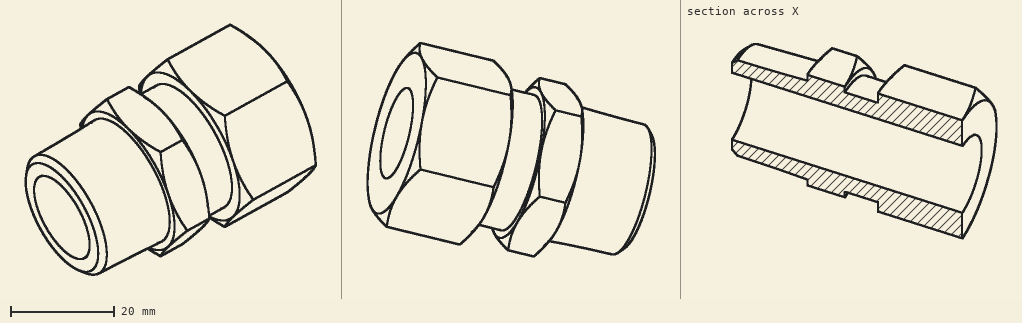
import cadquery as cq
import math

total_length = 49.0
end_chamfer_length = 1.2
gauge_plane = 9.5
body_hex_start = 16.05
body_hex_end = 24.0
nut_start = 31.05

bore_diameter = 18.0
end_face_diameter = 23.55
gauge_diameter = 26.45
thread_taper = 1 / 16
body_diameter = 27.0
body_hex_flats = 30.0
nut_flats = 32.0
hex_chamfer_angle = 30.0
corner_clearance = 0.5


def revolve_about_y(profile):
    """Revolve a closed list of (radius, y) points about the Y axis."""
    return cq.Workplane("XY").polyline(profile).close().revolve(360, (0, 0, 0), (0, 1, 0))


def chamfered_hexagon(flats, start, end):
    """Hexagon along Y with corners on X and both ends turned down to the flats."""
    corner_diameter = flats / math.cos(math.radians(30))
    prism = (
        cq.Workplane("XZ", origin=(0, start, 0))
        .polygon(6, corner_diameter)
        .extrude(start - end)
    )
    face_radius = flats / 2
    outer_radius = corner_diameter / 2 + corner_clearance
    chamfer = (outer_radius - face_radius) * math.tan(math.radians(hex_chamfer_angle))
    turned_blank = revolve_about_y([
        (0, start),
        (face_radius, start),
        (outer_radius, start + chamfer),
        (outer_radius, end - chamfer),
        (face_radius, end),
        (0, end),
    ])
    return prism.intersect(turned_blank)


def thread_radius(y):
    """Radius of the tapered thread at station y."""
    return (gauge_diameter + thread_taper * (y - gauge_plane)) / 2


body = revolve_about_y([
    (0, 0),
    (end_face_diameter / 2, 0),
    (thread_radius(end_chamfer_length), end_chamfer_length),
    (thread_radius(body_hex_start), body_hex_start),
    (body_diameter / 2, body_hex_start),
    (body_diameter / 2, total_length),
    (0, total_length),
])

body_hex = chamfered_hexagon(body_hex_flats, body_hex_start, body_hex_end)
nut = chamfered_hexagon(nut_flats, nut_start, total_length)
bore = cq.Workplane("XZ").circle(bore_diameter / 2).extrude(-total_length)

result = body.union(body_hex).union(nut).cut(bore)